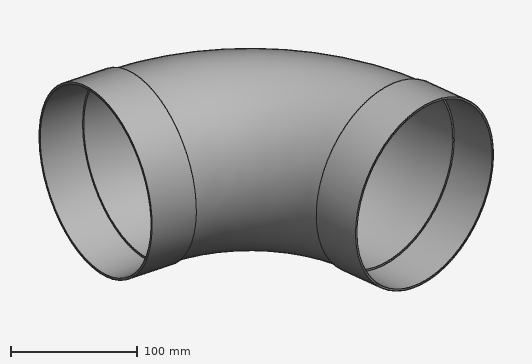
import cadquery as cq
import math

bend_angle = 75.0
bend_radius = 160.0
wall = 1.7
socket_diameter = 163.7
socket_length = 41.8
shoulder_thickness = wall

socket_radius = socket_diameter / 2
socket_bore_radius = socket_radius - wall
pipe_radius = socket_bore_radius
pipe_bore_radius = pipe_radius - wall
socket_depth = socket_length - shoulder_thickness

turn = math.radians(bend_angle)
outlet_center = (
    bend_radius * (1 - math.cos(turn)),
    bend_radius * math.sin(turn),
    0,
)
outlet_direction = (math.sin(turn), math.cos(turn), 0)
inlet_center = (0, 0, 0)
inlet_direction = (0, -1, 0)


def bend(radius):
    """Solid round bar following the elbow bend."""
    return (
        cq.Workplane("XZ")
        .circle(radius)
        .revolve(bend_angle, (bend_radius, 3, 0), (bend_radius, 0, 0))
    )


def end_cylinder(center, direction, radius, length, offset=0):
    """Cylinder pointing out of one bend end, starting at the given offset."""
    plane = cq.Plane(origin=center, xDir=(0, 0, 1), normal=direction)
    return cq.Workplane(plane).workplane(offset=offset).circle(radius).extrude(length)


ends = [(inlet_center, inlet_direction), (outlet_center, outlet_direction)]

result = bend(pipe_radius)
for center, direction in ends:
    result = result.union(end_cylinder(center, direction, socket_radius, socket_length))

result = result.cut(bend(pipe_bore_radius))
for center, direction in ends:
    result = result.cut(end_cylinder(center, direction, pipe_bore_radius, socket_length))
    result = result.cut(
        end_cylinder(center, direction, socket_bore_radius, socket_depth, shoulder_thickness)
    )